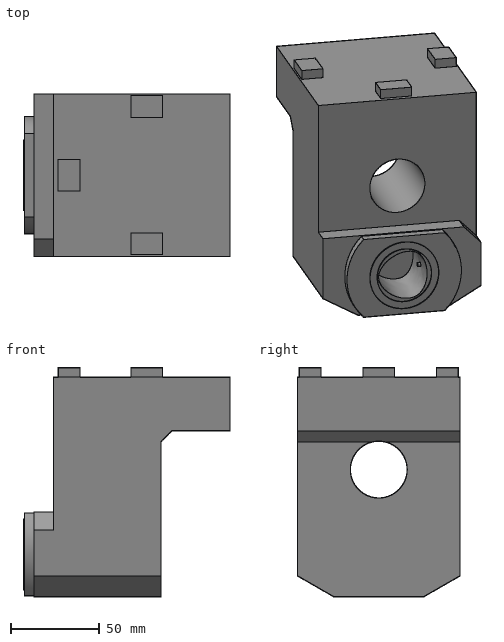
import cadquery as cq
import math

width = 92.0
total_height = 129.5
total_length = 117.0
pad_height = 5.3
body_top = total_height - pad_height

ledge_front = 6.0
wall_front = 17.0
ledge_top = 47.9
column_back = 77.8
overhang_bottom = 93.8
overhang_chamfer = 6.2

bottom_cut_width = 20.5
bottom_cut_height = 11.8
ledge_cut_width = 10.0
ledge_cut_height = 10.1

cross_bore_diameter = 32.0
cross_bore_height = 71.9

spindle_height = 24.0
flange_diameter = 66.5
flange_height = 46.9
ring_diameter = 40.0
ring_recess_diameter = 31.6
ring_thickness = 0.6

socket_mean_radius = 14.1
socket_lobe = 0.8
socket_depth = 31.1
socket_taper = 1 / 40

pin_diameter = 2.5
pin_tip_radius = 11.4
pin_length = 3.9
pin_depth = 15.5

pad_long = 18.0
pad_short = 12.3
pad_edge_gap = 1.0
front_pad_x = 25.9
side_pad_x = 69.8


def make_body():
    outline = [
        (ledge_front, 0),
        (column_back, 0),
        (column_back, overhang_bottom - overhang_chamfer),
        (column_back + overhang_chamfer, overhang_bottom),
        (total_length, overhang_bottom),
        (total_length, body_top),
        (wall_front, body_top),
        (wall_front, ledge_top),
        (ledge_front, ledge_top),
    ]
    return cq.Workplane("XZ").polyline(outline).close().extrude(width / 2, both=True)


def corner_prism(corner_y, corner_z, leg_y, leg_z, start_x, end_x):
    """Triangular prism along X with its right-angled corner on a body edge."""
    triangle = [
        (corner_y, corner_z),
        (corner_y + leg_y, corner_z),
        (corner_y, corner_z + leg_z),
    ]
    plane = cq.Workplane("YZ", origin=(start_x, 0, 0))
    return plane.polyline(triangle).close().extrude(end_x - start_x)


def disc(diameter, start_x, end_x, height):
    """Cylinder along X, centred on the width at the given height."""
    plane = cq.Workplane("YZ", origin=(start_x, 0, height))
    return plane.circle(diameter / 2).extrude(end_x - start_x)


def make_flange():
    round_part = disc(flange_diameter, ring_thickness, ledge_front, spindle_height)
    flats = cq.Workplane("XY", origin=(0, 0, spindle_height)).box(total_length, width, flange_height)
    return round_part.intersect(flats)


def socket_point(angle, mean_radius):
    """Point on a constant-width three-lobed curve with one lobe toward +Y."""
    support = mean_radius + socket_lobe * math.cos(3 * angle)
    slope = -3 * socket_lobe * math.sin(3 * angle)
    y = support * math.cos(angle) - slope * math.sin(angle)
    z = support * math.sin(angle) + slope * math.cos(angle)
    return y, z


def socket_curve(workplane, mean_radius):
    return workplane.parametricCurve(
        lambda t: socket_point(2 * math.pi * t, mean_radius), N=72
    )


def make_socket():
    mouth = cq.Workplane("YZ", origin=(0, 0, spindle_height))
    mouth = socket_curve(mouth, socket_mean_radius)
    floor = mouth.workplane(offset=socket_depth)
    floor_radius = socket_mean_radius - socket_taper * socket_depth
    return socket_curve(floor, floor_radius).loft(ruled=True)


def make_pin():
    pin_plane = cq.Workplane("XZ", origin=(pin_depth, -pin_tip_radius, spindle_height))
    return pin_plane.circle(pin_diameter / 2).extrude(pin_length)


def make_pad(x, y, length_x, length_y):
    base = cq.Workplane("XY", origin=(x, y, body_top))
    return base.rect(length_x, length_y).extrude(pad_height)


result = make_body()

for side in (-1, 1):
    result = result.cut(corner_prism(
        side * width / 2, 0, -side * bottom_cut_width, bottom_cut_height, 0, column_back
    ))

result = result.cut(corner_prism(
    -width / 2, ledge_top, ledge_cut_width, -ledge_cut_height, 0, wall_front
))

result = result.cut(disc(cross_bore_diameter, 0, total_length, cross_bore_height))

result = result.union(make_flange())
result = result.union(disc(ring_diameter, 0, ledge_front, spindle_height))
result = result.cut(disc(ring_recess_diameter, 0, ring_thickness, spindle_height))
result = result.cut(make_socket())
result = result.union(make_pin())

result = result.union(make_pad(front_pad_x, 0, pad_short, pad_long))
side_pad_y = width / 2 - pad_edge_gap - pad_short / 2
for side in (-1, 1):
    result = result.union(make_pad(side_pad_x, side * side_pad_y, pad_long, pad_short))